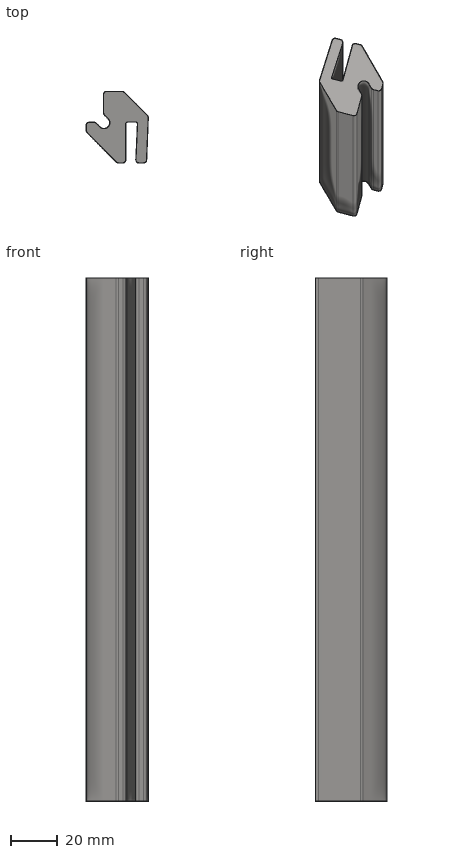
import cadquery as cq
import math

LENGTH = 224.3
WIDTH = 26.7
DEPTH = 30.7

BLOCK_LEFT = 7.5
BLOCK_TOP_RIGHT = 16.0
SHOULDER_Y = 20.0

SOCKET_RADIUS = 2.5
SOCKET_X = 7.6
SOCKET_Y = 17.3
SOCKET_ANGLE = 135
SOCKET_REACH = 9.0

HOOK_TOP = 17.5
HOOK_LOWER_Y = 13.5
LEG_LEFT = 13.2

SLOT_LEFT = 17.0
SLOT_RIGHT = 22.0
SLOT_TOP = 17.5
ARM_LEAN = 0.78

EDGE_RADIUS = 1.3
SLOT_RADIUS = 0.7


def profile_body():
    """Extrude the profile along Z with sharp outer corners and no socket."""
    outline = [
        (BLOCK_LEFT, DEPTH),
        (BLOCK_TOP_RIGHT, DEPTH),
        (WIDTH, SHOULDER_Y),
        (WIDTH - ARM_LEAN, 0),
        (SLOT_RIGHT - ARM_LEAN, 0),
        (SLOT_RIGHT, SLOT_TOP),
        (SLOT_LEFT, SLOT_TOP),
        (SLOT_LEFT, 0),
        (LEG_LEFT, 0),
        (0, HOOK_LOWER_Y),
        (0, HOOK_TOP),
        (BLOCK_LEFT, HOOK_TOP),
    ]
    return cq.Workplane("XY").polyline(outline).close().extrude(LENGTH)


def cut_socket(body):
    """Cut the socket: a round end with parallel walls running out to the upper left."""
    seat = cq.Workplane("XY").center(SOCKET_X, SOCKET_Y)
    round_end = seat.circle(SOCKET_RADIUS).extrude(LENGTH)
    mouth = (
        seat.transformed(rotate=(0, 0, SOCKET_ANGLE))
        .center(SOCKET_REACH / 2, 0)
        .rect(SOCKET_REACH, 2 * SOCKET_RADIUS)
        .extrude(LENGTH)
    )
    return body.cut(round_end).cut(mouth)


def round_edges(body, points, radius):
    """Round the lengthwise edges that pass through the given profile points."""
    for x, y in points:
        edge = cq.selectors.NearestToPointSelector((x, y, LENGTH / 2))
        body = body.edges("|Z").edges(edge).fillet(radius)
    return body


outer_corners = [
    (BLOCK_LEFT, DEPTH),
    (BLOCK_TOP_RIGHT, DEPTH),
    (WIDTH, SHOULDER_Y),
    (WIDTH - ARM_LEAN, 0),
    (SLOT_RIGHT - ARM_LEAN, 0),
    (SLOT_LEFT, 0),
    (LEG_LEFT, 0),
    (0, HOOK_LOWER_Y),
    (0, HOOK_TOP),
]
wall_offset = SOCKET_RADIUS * math.sqrt(2)
socket_corners = [
    (BLOCK_LEFT, SOCKET_Y + wall_offset + SOCKET_X - BLOCK_LEFT),
    (SOCKET_X - wall_offset + SOCKET_Y - HOOK_TOP, HOOK_TOP),
]
slot_corners = [
    (SLOT_LEFT, SLOT_TOP),
    (SLOT_RIGHT, SLOT_TOP),
]

result = cut_socket(profile_body())
result = round_edges(result, outer_corners, EDGE_RADIUS)
result = round_edges(result, socket_corners, EDGE_RADIUS)
result = round_edges(result, slot_corners, SLOT_RADIUS)